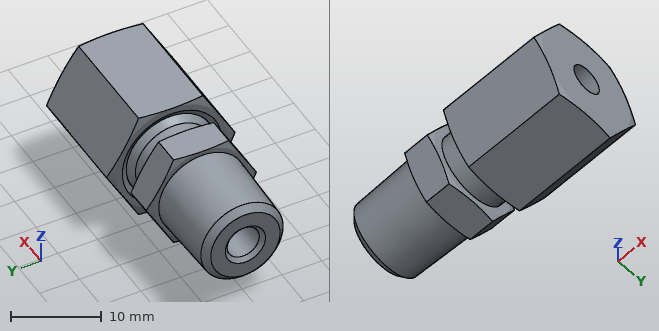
import cadquery as cq
import math

length = 31.5
body_tip_x = -length / 2
nut_end_x = length / 2
nut_length = 14.5
nut_face_x = nut_end_x - nut_length
collar_start_x = -5.73
collar_length = 3.97
neck_end_x = 0.8

taper_small_radius = 5.17
taper_large_radius = 5.45
tip_radius = 4.35
tip_chamfer_length = 0.8

hex_sides = 6
hex_half_angle = 180.0 / hex_sides
nut_across_flats = 14.0
collar_across_flats = 12.0
hex_chamfer_angle = 15.0

neck_radius = 4.85
thread_radius = 5.5
thread_runout_angle = 30.0
thread_length = 6.3
runout_length = (thread_radius - neck_radius) / math.tan(math.radians(thread_runout_angle))
runout_end_x = neck_end_x + runout_length
body_end_x = runout_end_x + thread_length

bore_radius = 2.02
bore_mouth_radius = 2.52
bore_mouth_depth = bore_mouth_radius - bore_radius
nut_mouth_radius = 6.25
nut_mouth_angle = 60.0
nut_mouth_depth = (nut_mouth_radius - thread_radius) / math.tan(math.radians(nut_mouth_angle))


def revolve_profile(points):
    """Turn a closed (x, radius) outline around the X axis."""
    profile = cq.Workplane("XY").polyline(points).close()
    return profile.revolve(360, (0, 0, 0), (1, 0, 0))


def chamfered_hexagon(start_x, hex_length, across_flats):
    """Hexagon bar along X with two corners on +Y and -Y and both ends turned to a cone."""
    flat_radius = across_flats / 2
    corner_radius = flat_radius / math.cos(math.radians(hex_half_angle))
    corner_cut = (corner_radius - flat_radius) * math.tan(math.radians(hex_chamfer_angle))
    end_x = start_x + hex_length
    bar = (
        cq.Workplane("YZ")
        .workplane(offset=start_x)
        .polygon(hex_sides, 2 * corner_radius)
        .extrude(hex_length)
    )
    envelope = revolve_profile([
        (start_x, 0),
        (start_x, flat_radius),
        (start_x + corner_cut, corner_radius),
        (end_x - corner_cut, corner_radius),
        (end_x, flat_radius),
        (end_x, 0),
    ])
    return bar.intersect(envelope)


def make_body():
    """Fitting body: tapered end, hexagon collar, neck and straight thread, bored through."""
    turned = revolve_profile([
        (body_tip_x, 0),
        (body_tip_x, tip_radius),
        (body_tip_x + tip_chamfer_length, taper_small_radius),
        (collar_start_x, taper_large_radius),
        (collar_start_x, neck_radius),
        (neck_end_x, neck_radius),
        (runout_end_x, thread_radius),
        (body_end_x, thread_radius),
        (body_end_x, 0),
    ])
    collar = chamfered_hexagon(collar_start_x, collar_length, collar_across_flats)
    bore = revolve_profile([
        (body_tip_x, 0),
        (body_tip_x, bore_mouth_radius),
        (body_tip_x + bore_mouth_depth, bore_radius),
        (body_end_x, bore_radius),
        (body_end_x, 0),
    ])
    return turned.union(collar).cut(bore)


def make_nut():
    """Hexagon nut with a threaded recess for the body and a through hole for the tube."""
    hexagon = chamfered_hexagon(nut_face_x, nut_length, nut_across_flats)
    opening = revolve_profile([
        (nut_face_x, 0),
        (nut_face_x, nut_mouth_radius),
        (nut_face_x + nut_mouth_depth, thread_radius),
        (body_end_x, thread_radius),
        (body_end_x, bore_radius),
        (nut_end_x, bore_radius),
        (nut_end_x, 0),
    ])
    return hexagon.cut(opening)


body = make_body()
nut = make_nut()

result = cq.Compound.makeCompound([body.val(), nut.val()])